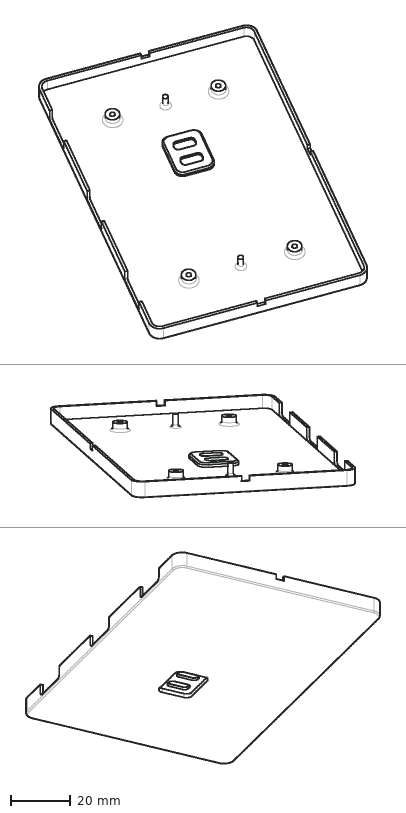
import cadquery as cq

length = 118.0
width = 78.0
height = 5.5
corner_radius = 3.8
wall = 1.0
floor = 1.0
bottom_fillet = 0.5

cutout_width = 14.3
cutout_corner_radius = 1.2
cutout_sill = 0.06

notch_width = 3.0
notch_depth = 1.8

column_x = 38.0
boss_pitch_y = 38.0
right_boss_shift_y = 0.4
boss_diameter = 5.0
boss_top = 3.8
boss_hole_diameter = 1.8
pin_diameter = 1.9
root_fillet = 1.0

pad_x = -15.0
pad_length = 17.8
pad_width = 14.2
pad_corner_radius = 3.0
pad_height = 1.48
pad_chamfer = 0.6
slot_pitch = 7.2
slot_width = 3.8
slot_length = 7.8
slot_corner_radius = 1.4


def tray():
    outer = cq.Workplane().box(length, width, height, centered=(True, True, False))
    outer = outer.edges("|Z").fillet(corner_radius).faces("<Z").edges().fillet(bottom_fillet)
    cavity = cq.Workplane().workplane(offset=floor).rect(length - 2 * wall, width - 2 * wall)
    cavity = cavity.extrude(height).edges("|Z").fillet(corner_radius - wall)
    return outer.cut(cavity)


def front_cutout(x):
    """Block that opens the -Y wall down to a low sill above the floor, with rounded lower corners."""
    block = cq.Workplane().box(cutout_width, 2 * wall, height, centered=(True, True, False))
    block = block.edges("|Y and <Z").fillet(cutout_corner_radius)
    return block.translate((x, -width / 2, floor + cutout_sill))


def rim_notch(x, y):
    """Block that notches the top rim of the wall whose outer face passes through (x, y)."""
    block = cq.Workplane().box(notch_width, notch_width, 2 * notch_depth)
    return block.translate((x, y, height))


def post(x, y, diameter, top):
    """Round post standing on the floor, flared into it by a concave root fillet."""
    radius = diameter / 2
    bend = root_fillet * (1 - 0.5 ** 0.5)
    profile = (
        cq.Workplane("XZ")
        .lineTo(radius + root_fillet, 0)
        .lineTo(radius + root_fillet, floor)
        .threePointArc((radius + bend, floor + bend), (radius, floor + root_fillet))
        .lineTo(radius, top)
        .lineTo(0, top)
        .close()
    )
    return profile.revolve(360, (0, 0, 0), (0, 1, 0)).translate((x, y, 0))


def pad_plate():
    plate = cq.Workplane().rect(pad_length, pad_width).extrude(floor + pad_height)
    plate = plate.edges("|Z").fillet(pad_corner_radius).faces(">Z").edges().chamfer(pad_chamfer)
    return plate.translate((pad_x, 0, 0))


def pad_recess():
    """Pocket in the underside that leaves a pad of uniform top and side thickness."""
    pocket = cq.Workplane().rect(pad_length - 2 * wall, pad_width - 2 * wall).extrude(pad_height)
    pocket = pocket.edges("|Z").fillet(pad_corner_radius - wall)
    return pocket.translate((pad_x, 0, 0))


def pad_slot(x):
    slot = cq.Workplane().rect(slot_width, slot_length).extrude(height)
    return slot.edges("|Z").fillet(slot_corner_radius).translate((x, 0, 0))


result = tray()
for cutout_x in (-column_x, 0, column_x):
    result = result.cut(front_cutout(cutout_x))
for notch_x, notch_y in ((-length / 2, 0), (length / 2, 0), (0, width / 2)):
    result = result.cut(rim_notch(notch_x, notch_y))

boss_centers = [
    (side * column_x, shift_y + end * boss_pitch_y / 2)
    for side, shift_y in ((-1, 0), (1, right_boss_shift_y))
    for end in (-1, 1)
]
for x, y in boss_centers:
    result = result.union(post(x, y, boss_diameter, boss_top))
boss_holes = cq.Workplane().workplane(offset=floor).pushPoints(boss_centers)
result = result.cut(boss_holes.circle(boss_hole_diameter / 2).extrude(height))

for pin_x in (-column_x, column_x):
    result = result.union(post(pin_x, 0, pin_diameter, height))

result = result.union(pad_plate()).cut(pad_recess())
for slot_x in (pad_x - slot_pitch / 2, pad_x + slot_pitch / 2):
    result = result.cut(pad_slot(slot_x))